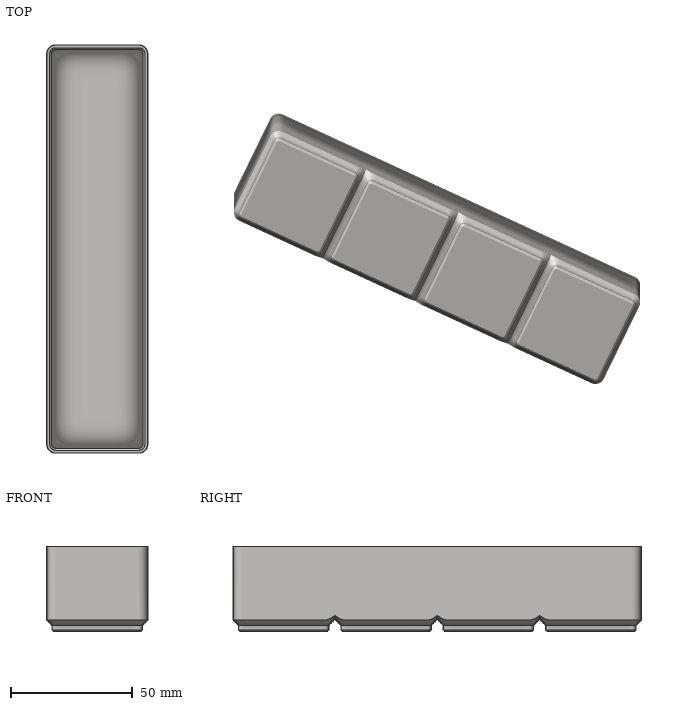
import cadquery as cq

length = 167.5
height = 35.0
foot_count = 4
foot_gap = 0.5
foot_pitch = (length + foot_gap) / foot_count
width = foot_pitch - foot_gap

toe_chamfer = 0.8
band_height = 1.8
flare = 2.2
toe_radius = 0.8
corner_radius = toe_radius + toe_chamfer + flare
band_bottom = toe_chamfer
band_top = band_bottom + band_height

floor_level = 7.0
rim_width = 1.2
rim_chamfer = 0.8
wall = rim_width + rim_chamfer


def rounded_outline(inset, z, depth=length):
    """Rounded rectangle at height z, offset inwards from the outer walls (outwards if negative)."""
    return (
        cq.Sketch()
        .rect(width - 2 * inset, depth - 2 * inset)
        .vertices()
        .fillet(corner_radius - inset)
        .moved(cq.Location(cq.Vector(0, 0, z)))
    )


def frustum(lower, upper):
    """Solid spanning two outlines with straight sloping sides."""
    return cq.Workplane("XY").placeSketch(lower, upper).loft(ruled=True)


def prism(outline, prism_height):
    """Solid rising straight up from an outline."""
    return cq.Workplane("XY").placeSketch(outline).extrude(prism_height)


def make_foot():
    """One square foot whose flare keeps widening up to the floor level."""
    overflare = floor_level - (band_top + flare)
    toe = frustum(
        rounded_outline(flare + toe_chamfer, 0, width),
        rounded_outline(flare, band_bottom, width),
    )
    band = prism(rounded_outline(flare, band_bottom, width), band_height)
    flared = frustum(
        rounded_outline(flare, band_top, width),
        rounded_outline(-overflare, floor_level, width),
    )
    return toe.union(band).union(flared)


def make_base():
    """Row of feet merged along Y; the flares are trimmed flush with the outer walls."""
    foot = make_foot()
    first_foot_y = -foot_pitch * (foot_count - 1) / 2
    base = foot.translate((0, first_foot_y, 0))
    for index in range(1, foot_count):
        base = base.union(foot.translate((0, first_foot_y + index * foot_pitch, 0)))
    return base.intersect(prism(rounded_outline(0, 0), floor_level))


def make_walls():
    """Open rectangular tube above the floor with a chamfered inner rim."""
    wall_height = height - floor_level
    shell = prism(rounded_outline(0, floor_level), wall_height)
    cavity = prism(rounded_outline(wall, floor_level), wall_height)
    rim_cut = frustum(
        rounded_outline(wall, height - rim_chamfer),
        rounded_outline(rim_width, height),
    )
    return shell.cut(cavity).cut(rim_cut)


result = make_base().union(make_walls())